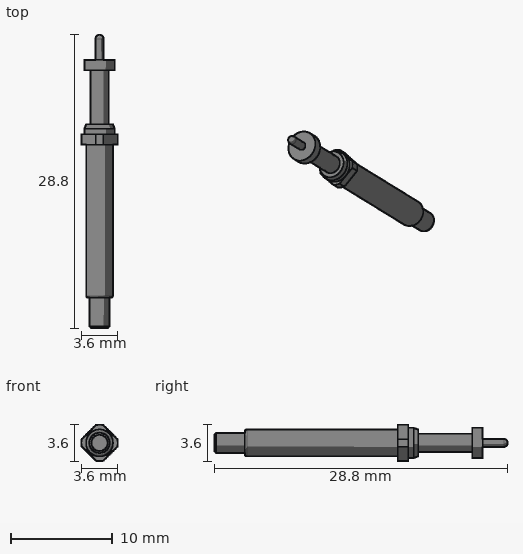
import cadquery as cq


total_length = 28.8
barrel_length = 15.0
foot_length = 3.0
front_length = total_length - barrel_length - foot_length

flange_length = 1.05
flange_across_flats = 3.0
flange_corner_diameter = 3.6
collar_diameter = 3.0
collar_end = 2.02
collar_chamfer_length = 0.45
collar_chamfer_depth = 0.17

shaft_diameter = 1.8
disc_diameter = 3.0
disc_length = 1.05
pin_diameter = 0.8
pin_length = 2.48

barrel_diameter = 2.65
barrel_end_radius = 0.2
foot_diameter = 2.0
foot_chamfer = 0.2


def cylinder_along_y(diameter, start, end):
    """Round bar centred on the Y axis from Y = start to Y = end."""
    bar = cq.Workplane("XZ", origin=(0, end, 0))
    return bar.circle(diameter / 2).extrude(end - start)


def make_flange():
    """Square flange standing on its corner, corners turned round."""
    blank = cylinder_along_y(flange_corner_diameter, 0, flange_length)
    square = (
        cq.Workplane("XZ", origin=(0, flange_length, 0))
        .transformed(rotate=(0, 0, 45))
        .rect(flange_across_flats, flange_across_flats)
        .extrude(flange_length)
    )
    return blank.intersect(square)


def make_collar():
    collar = cylinder_along_y(collar_diameter, flange_length, collar_end)
    return collar.faces(">Y").chamfer(collar_chamfer_length, collar_chamfer_depth)


def make_plunger():
    pin_start = front_length - pin_length
    disc_start = pin_start - disc_length
    shaft = cylinder_along_y(shaft_diameter, collar_end, disc_start)
    disc = cylinder_along_y(disc_diameter, disc_start, pin_start)
    tip_radius = pin_diameter / 2
    tip_centre = front_length - tip_radius
    pin = cylinder_along_y(pin_diameter, pin_start, tip_centre)
    tip = cq.Workplane("XY", origin=(0, tip_centre, 0)).sphere(tip_radius)
    return shaft.union(disc).union(pin).union(tip)


def make_barrel():
    barrel = cylinder_along_y(barrel_diameter, -barrel_length, 0)
    return barrel.faces("<Y").edges().fillet(barrel_end_radius)


def make_foot():
    foot = cylinder_along_y(foot_diameter, -barrel_length - foot_length, -barrel_length)
    return foot.faces("<Y").chamfer(foot_chamfer)


rear_body = make_barrel().union(make_foot())
front_body = make_collar().union(make_plunger())
result = make_flange().union(rear_body).union(front_body)